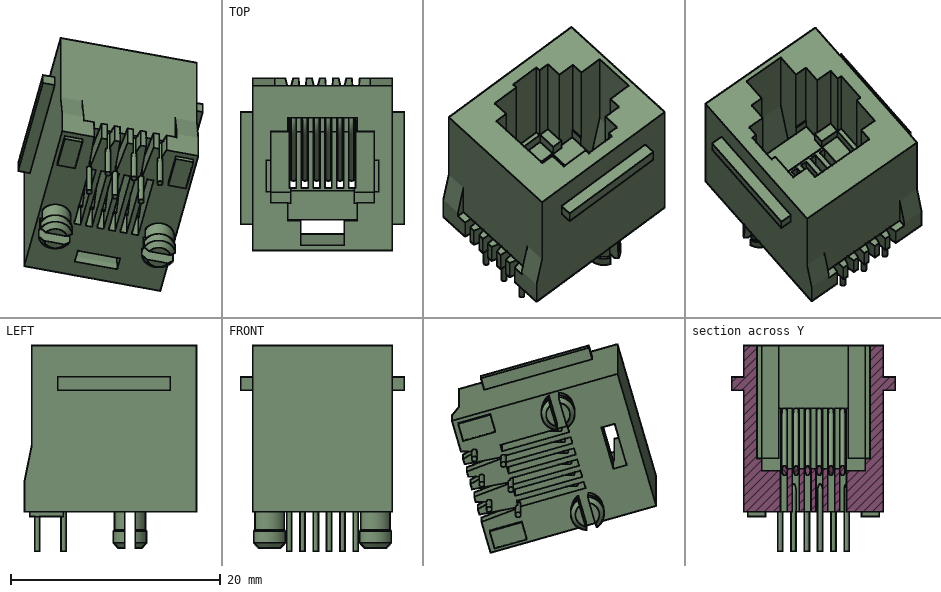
import cadquery as cq
import math


body_width = 13.35
body_height = 15.9
upper_depth = 15.76
lower_depth = 16.47
ramp_bottom = 2.9
ramp_top = 6.4

rail_span = 15.67
rail_front = 2.52
rail_back = 13.26
rail_bottom = 11.61
rail_height = 1.28

plug_width = 9.88
plug_front = 4.59
plug_back = 11.41
nose_width = 6.6
nose_front = 2.85
nose_back = 12.67
key_width = 10.78
key_front = 5.65
key_back = 8.62
shelf_level = 9.92
seat_level = 5.12
seat_step = 0.08
floor_level = 3.94
stop_inner_x = 3.05
stop_front = plug_front - seat_step
stop_back = 5.59

latch_width = 4.15
latch_front = 0.51
latch_ramp_bottom = 1.61
latch_ramp_height = 5.31
latch_lip = 0.79

contact_count = 6
wire_diameter = 0.51
wire_row = 5.55
pin_row = 6.35
pin_lines = [15.23, 12.71]
pin_length = 3.78
straight_pin_top = 1.97
wire_level = shelf_level - wire_diameter / 2
wire_apex_y = 11.8
wire_slope = 58.0
wire_tip_y = 6.87
wire_bend = 1.57

slot_row = 5.65
slot_width = 0.63
slot_front = 6.0
pad_front = 5.75
pad_height = 0.2

comb_width = 9.13
comb_level = 2.36
comb_mouth = 0.73
comb_neck = 0.1

peg_x = 5.05
peg_y = 6.38
peg_diameter = 3.0
peg_bulge_diameter = 3.2
peg_tip_diameter = 2.28
peg_neck_level = -1.71
peg_bulge_top = -1.87
peg_bulge_bottom = -2.93
peg_tip_level = -3.46
peg_split = 0.98

foot_inner_x = comb_width / 2
foot_outer_x = 6.3
foot_front = 12.75
foot_back = 15.96
foot_height = 0.45


def block(x_min, x_max, y_min, y_max, z_min, z_max):
    """A box given by its limits along each axis."""
    return cq.Workplane("XY").box(
        x_max - x_min, y_max - y_min, z_max - z_min, centered=False
    ).translate((x_min, y_min, z_min))


def centred_block(width, y_min, y_max, z_min, z_max):
    """A box of the given width, centred on X = 0."""
    return block(-width / 2, width / 2, y_min, y_max, z_min, z_max)


def side_profile(points, width):
    """A (Y, Z) outline extruded along X, centred on X = 0."""
    return cq.Workplane("YZ").polyline(points).close().extrude(width / 2, both=True)


def row_x(index, row_length):
    """X of one member of an evenly spaced row centred on X = 0."""
    return (index / (contact_count - 1) - 0.5) * row_length


def pin_y(index):
    return pin_lines[index % len(pin_lines)]


def make_contact(index):
    """A round wire: cavity spring, bend, run to the rear, bend down, straight solder pin."""
    spring_x = row_x(index, wire_row)
    pin_x = row_x(index, pin_row)
    tip_drop = (wire_apex_y - wire_tip_y) * math.tan(math.radians(wire_slope))
    corners = [
        cq.Vector(pin_x, pin_y(index), -pin_length),
        cq.Vector(pin_x, pin_y(index), straight_pin_top),
        cq.Vector(spring_x, pin_lines[0], wire_level),
        cq.Vector(spring_x, wire_apex_y, wire_level),
        cq.Vector(spring_x, wire_tip_y, wire_level - tip_drop),
    ]
    path = cq.Wire.makePolygon(corners).fillet(wire_bend)
    start = cq.Workplane("XY").workplane(offset=-pin_length).center(pin_x, pin_y(index))
    return start.circle(wire_diameter / 2).sweep(cq.Workplane(path))


def make_shell():
    outline = [
        (0, 0),
        (lower_depth, 0),
        (lower_depth, ramp_bottom),
        (upper_depth, ramp_top),
        (upper_depth, body_height),
        (0, body_height),
    ]
    rails = centred_block(rail_span, rail_front, rail_back, rail_bottom, rail_bottom + rail_height)
    return side_profile(outline, body_width).union(rails)


def make_cavity():
    lower_back = plug_back - seat_step
    lower_nose_front = nose_front + seat_step
    plug_space = centred_block(plug_width, plug_front, plug_back, seat_level, body_height)
    rear_nose = centred_block(nose_width, lower_back, nose_back, shelf_level, body_height)
    front_nose = centred_block(nose_width, nose_front, plug_front, seat_level, body_height)
    keys = centred_block(key_width, key_front, key_back, seat_level, body_height)
    lower_plug_space = centred_block(plug_width, plug_front, lower_back, floor_level, seat_level)
    lower_nose = centred_block(nose_width, lower_nose_front, plug_front, floor_level, seat_level)
    rib_wall = centred_block(nose_width, lower_back, plug_back, seat_level, shelf_level)
    cavity = plug_space.cut(rib_wall)
    for part in (rear_nose, front_nose, keys, lower_plug_space, lower_nose):
        cavity = cavity.union(part)
    for side in (-1, 1):
        x_limits = sorted((side * stop_inner_x, side * plug_width / 2))
        cavity = cavity.cut(block(*x_limits, stop_front, stop_back, floor_level, seat_level))
    pad = centred_block(2 * stop_inner_x, pad_front, lower_back, floor_level, floor_level + pad_height)
    return cavity.cut(pad)


def make_latch_window():
    back = nose_front + seat_step
    outline = [
        (latch_ramp_bottom, 0),
        (back, 0),
        (back, body_height),
        (latch_front, body_height),
        (latch_front, latch_lip + latch_ramp_height),
        (latch_ramp_bottom, latch_lip),
    ]
    return side_profile(outline, latch_width)


def make_contact_slot(index):
    x = row_x(index, slot_row)
    return block(x - slot_width / 2, x + slot_width / 2, slot_front, nose_back, 0, shelf_level)


def make_comb_slot(index):
    """A slot that narrows from the rear face to the pin."""
    x = row_x(index, pin_row)
    outline = [
        (x - comb_neck / 2, pin_y(index)),
        (x + comb_neck / 2, pin_y(index)),
        (x + comb_mouth / 2, lower_depth),
        (x - comb_mouth / 2, lower_depth),
    ]
    return cq.Workplane("XY").polyline(outline).close().extrude(comb_level)


def make_peg(x):
    """A round snap peg with a bulge and a tapered tip, split across Y."""
    profile = [
        (0, 0),
        (peg_diameter / 2, 0),
        (peg_diameter / 2, peg_neck_level),
        (peg_bulge_diameter / 2, peg_bulge_top),
        (peg_bulge_diameter / 2, peg_bulge_bottom),
        (peg_tip_diameter / 2, peg_tip_level),
        (0, peg_tip_level),
    ]
    peg = cq.Workplane("XZ").polyline(profile).close().revolve(360, (0, 0), (0, 1))
    split = centred_block(peg_bulge_diameter, -peg_split / 2, peg_split / 2, peg_tip_level, 0)
    return peg.cut(split).translate((x, peg_y, 0))


def make_housing(contacts):
    housing = make_shell().cut(make_cavity()).cut(make_latch_window())
    housing = housing.cut(centred_block(comb_width, upper_depth, lower_depth, comb_level, ramp_top))
    for index in range(contact_count):
        housing = housing.cut(make_contact_slot(index)).cut(make_comb_slot(index))
    for side in (-1, 1):
        foot_limits = sorted((side * foot_inner_x, side * foot_outer_x))
        housing = housing.union(make_peg(side * peg_x))
        housing = housing.union(block(*foot_limits, foot_front, foot_back, -foot_height, 0))
    for contact in contacts:
        housing = housing.cut(contact)
    return housing


contacts = [make_contact(index) for index in range(contact_count)]
housing = make_housing(contacts)
result = cq.Compound.makeCompound([housing.val(), *[contact.val() for contact in contacts]])